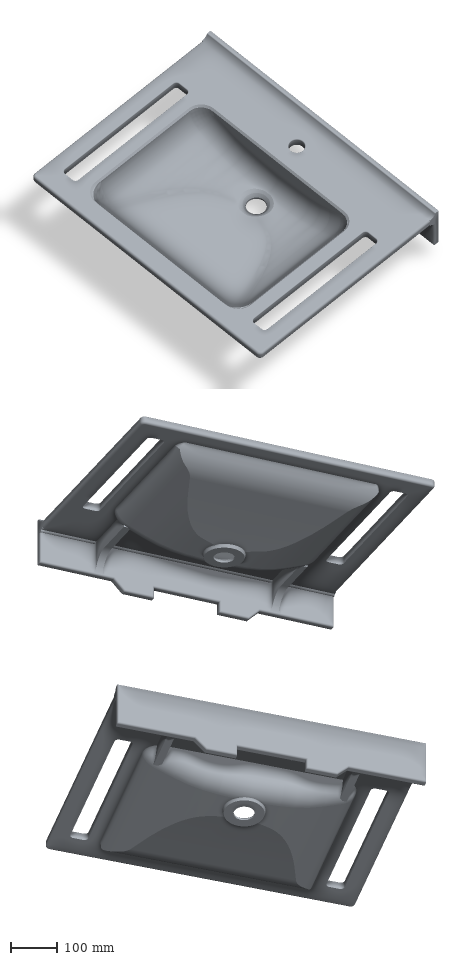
import cadquery as cq
import math


pick_tolerance = 0.1

width = 700.0
depth = 550.0
deck_thickness = 19.0
deck_back_y = -8.0
deck_corner_radius = 10.0
deck_edge_radius = 5.0

total_height = 135.0
upstand_height = 11.5
upstand_thickness = 12.0
upstand_foot_y = -27.5
upstand_arc_radius = 16.0
plate_thickness = 17.0
plate_bottom = -98.0
foot_bottom = upstand_height - total_height
foot_inner_x = 78.0
foot_chamfer = foot_bottom - plate_bottom
foot_outer_x = 174.0
plate_edge_radius = 4.0
plate_root_radius = 4.5
upstand_edge_radius = 2.5

rib_x = 210.0
rib_thickness = 17.0
rib_bottom = -54.5
rib_foot_z = plate_bottom + plate_edge_radius
rib_arc_end_y = -70.0
rib_arc_radius = 50.0
rib_end_y = -166.0
rib_root_radius = 5.0

slot_x = 290.0
slot_width = 41.0
slot_length = 350.0
slot_back_y = -146.0
slot_corner_radius = 9.0

opening_edge_radius = 2.0

tap_y = -87.0
tap_diameter = 36.0

floor_wall = 9.5
inner_floor = -89.0
outer_floor = inner_floor - floor_wall
side_wall = 9.5
inner_half_width = 234.0
outer_half_width = inner_half_width + side_wall
inner_back_y = -146.0
back_wall = 8.0
outer_back_y = inner_back_y + back_wall
inner_front_y = -504.6
outer_front_y = -515.0
inner_front_arc_y = -459.0
outer_front_arc_y = -443.0
back_arc_radius = 35.0
side_arc_radius = 47.0
side_slope = math.radians(22.0)
crease_radius = 45.0
side_slope_end_x = 170.0
flat_half_width = 70.0
middle_slope = math.radians(3.5)
rear_slope = math.radians(9.5)
front_slope = math.radians(8.5)
rear_slope_start_y = -228.0
rear_slope_end_y = -277.0
front_slope_start_y = -375.0
inner_corner_radius = 34.0
outer_corner_radius = 38.0
outer_arc_growth = 3.0
rim_flare = 4.5
rim_flare_angle = 45.0
rim_corner_radius = inner_corner_radius + rim_flare

drain_y = -211.0
drain_diameter = 46.0
drain_dish_radius = 42.0
drain_seat_radius = 30.0
drain_rim = inner_floor + 4.0
drain_dish_depth = 3.0
drain_throat_depth = 10.0
boss_radius = 44.5
boss_top_radius = 47.0
boss_bottom = -103.5
boss_height = 8.0


def x_prism(profile, x_start, length):
    """Extrude a closed YZ profile along +X."""
    return profile.extrude(length).translate((x_start, 0, 0))


def edges_near(body, x_range, y_range, z):
    """Edges centred at height z inside the given X and Y ranges."""
    low = (x_range[0] - pick_tolerance, y_range[0] - pick_tolerance, z - pick_tolerance)
    high = (x_range[1] + pick_tolerance, y_range[1] + pick_tolerance, z + pick_tolerance)
    return body.edges(cq.selectors.BoxSelector(low, high))


def deck():
    slab = (
        cq.Workplane("XY")
        .box(width, depth + deck_back_y, deck_thickness, centered=(True, False, False))
        .translate((0, -depth, -deck_thickness))
        .edges("|Z and <Y")
        .fillet(deck_corner_radius)
    )
    return slab.faces("<Y").edges("|X").fillet(deck_edge_radius)


def wall_plate():
    half = width / 2
    outline = (
        cq.Workplane("XZ")
        .moveTo(-half, upstand_height)
        .lineTo(half, upstand_height)
        .lineTo(half, plate_bottom)
        .lineTo(foot_outer_x, plate_bottom)
        .lineTo(foot_outer_x + foot_chamfer, foot_bottom)
        .lineTo(foot_inner_x, foot_bottom)
        .lineTo(foot_inner_x, plate_bottom)
        .lineTo(-foot_inner_x, plate_bottom)
        .lineTo(-foot_inner_x, foot_bottom)
        .lineTo(-foot_outer_x - foot_chamfer, foot_bottom)
        .lineTo(-foot_outer_x, plate_bottom)
        .lineTo(-half, plate_bottom)
        .close()
        .extrude(plate_thickness)
    )
    plate = outline.faces("<Y or >Y").edges().fillet(plate_edge_radius)
    upstand_front = (
        cq.Workplane("YZ")
        .moveTo(-upstand_thickness, upstand_height)
        .radiusArc((upstand_foot_y, 0), upstand_arc_radius)
        .lineTo(upstand_foot_y, upstand_height)
        .close()
    )
    root_y = -plate_thickness - plate_root_radius
    root_z = -deck_thickness - plate_root_radius
    deck_joint = (
        cq.Workplane("YZ")
        .moveTo(deck_back_y, upstand_height)
        .lineTo(-upstand_thickness, upstand_height)
        .radiusArc((upstand_foot_y, 0), upstand_arc_radius)
        .lineTo(upstand_foot_y, -deck_thickness)
        .lineTo(root_y, -deck_thickness)
        .radiusArc((-plate_thickness, root_z), -plate_root_radius)
        .lineTo(deck_back_y, root_z)
        .close()
    )
    plate = plate.cut(x_prism(upstand_front, -half, width))
    plate = plate.union(x_prism(deck_joint, -half, width))
    upstand_edge = edges_near(plate, (0, 0), (-upstand_thickness, -upstand_thickness), upstand_height)
    return upstand_edge.fillet(upstand_edge_radius)


def rib(x_centre):
    profile = (
        cq.Workplane("YZ")
        .moveTo(deck_back_y, -deck_thickness)
        .lineTo(deck_back_y, rib_foot_z)
        .lineTo(-plate_thickness, rib_foot_z)
        .radiusArc((rib_arc_end_y, rib_bottom), -rib_arc_radius)
        .lineTo(rib_end_y, rib_bottom)
        .lineTo(rib_end_y, -deck_thickness)
        .close()
    )
    half = rib_thickness / 2
    root_half = half + rib_root_radius
    root_end_y = -plate_thickness - rib_root_radius
    plan = (
        cq.Workplane("XY")
        .moveTo(root_half, deck_back_y)
        .lineTo(root_half, -plate_thickness)
        .radiusArc((half, root_end_y), -rib_root_radius)
        .lineTo(half, rib_end_y)
        .lineTo(-half, rib_end_y)
        .lineTo(-half, root_end_y)
        .radiusArc((-root_half, -plate_thickness), -rib_root_radius)
        .lineTo(-root_half, deck_back_y)
        .close()
        .extrude(plate_bottom)
    )
    return plan.intersect(x_prism(profile, -root_half, 2 * root_half)).translate((x_centre, 0, 0))


def bowl_form(half_width, back_y, front_y, floor_z, front_arc_y, arc_growth, corner_radius):
    """Solid with the bowl's shape: a lengthwise section crossed with a crosswise one."""
    rear_top_z = floor_z + (rear_slope_start_y - rear_slope_end_y) * math.tan(rear_slope)
    middle_run = rear_slope_end_y - front_slope_start_y
    front_start_z = rear_top_z + middle_run * math.tan((rear_slope + front_slope) / 2)
    front_top_z = front_start_z + (front_slope_start_y - front_arc_y) * math.tan(front_slope)
    lengthwise = (
        cq.Workplane("YZ")
        .moveTo(back_y, 0)
        .lineTo(back_y, floor_z)
        .lineTo(rear_slope_start_y, floor_z)
        .lineTo(rear_slope_end_y, rear_top_z)
        .tangentArcPoint((front_slope_start_y, front_start_z), relative=False)
        .lineTo(front_arc_y, front_top_z)
        .tangentArcPoint((front_y, 0), relative=False)
        .close()
    )
    side_radius = side_arc_radius + arc_growth
    middle_z = floor_z + flat_half_width * math.tan(middle_slope)
    ease_run = side_slope_end_x - flat_half_width
    ease_z = middle_z + ease_run * math.tan((side_slope + middle_slope) / 2)
    slope_x = half_width - side_radius * (1 - math.sin(side_slope))
    slope_z = ease_z + (slope_x - side_slope_end_x) * math.tan(side_slope)
    wall_z = slope_z + side_radius * math.cos(side_slope)
    crosswise = (
        cq.Workplane("XZ")
        .moveTo(-half_width, 0)
        .lineTo(half_width, 0)
        .lineTo(half_width, wall_z)
        .tangentArcPoint((slope_x, slope_z), relative=False)
        .lineTo(side_slope_end_x, ease_z)
        .tangentArcPoint((flat_half_width, middle_z), relative=False)
        .lineTo(0, floor_z)
        .lineTo(-flat_half_width, middle_z)
        .tangentArcPoint((-side_slope_end_x, ease_z), relative=False)
        .lineTo(-slope_x, slope_z)
        .tangentArcPoint((-half_width, wall_z), relative=False)
        .close()
        .extrude(depth)
    )
    form = crosswise.intersect(x_prism(lengthwise, -width / 2, width))
    plan = (
        cq.Workplane("XY")
        .center(0, (back_y + front_y) / 2)
        .rect(2 * half_width, back_y - front_y)
        .extrude(floor_z)
        .edges("|Z and <Y")
        .fillet(corner_radius)
    )
    form = form.intersect(plan)
    back_edges = form.faces(">Y").edges("not >Z")
    return back_edges.fillet(back_arc_radius + arc_growth)


def drain_boss():
    return (
        cq.Workplane("XY", origin=(0, drain_y, boss_bottom))
        .circle(boss_radius)
        .workplane(offset=boss_height)
        .circle(boss_top_radius)
        .loft()
    )


def drain_cut():
    hole_radius = drain_diameter / 2
    return (
        cq.Workplane("XZ", origin=(0, drain_y, 0))
        .moveTo(0, drain_rim)
        .lineTo(drain_dish_radius, drain_rim)
        .lineTo(drain_seat_radius, inner_floor - drain_dish_depth)
        .lineTo(hole_radius, inner_floor - drain_throat_depth)
        .lineTo(hole_radius, boss_bottom)
        .lineTo(0, boss_bottom)
        .close()
        .revolve(360, (0, 0, 0), (0, 1, 0))
    )


def bowl_cavity():
    cavity = bowl_form(
        inner_half_width,
        inner_back_y,
        inner_front_y,
        inner_floor,
        inner_front_arc_y,
        0,
        inner_corner_radius,
    )
    valley_box = cq.selectors.BoxSelector(
        (-side_slope_end_x - side_arc_radius, inner_front_arc_y, inner_floor),
        (side_slope_end_x + side_arc_radius, rear_slope_start_y, inner_floor / 2),
    )
    valleys = cavity.edges(valley_box).edges("not |X").edges("not |Y")
    return valleys.fillet(crease_radius)


def rim_cut():
    """Flared rim on the sides and back; the front keeps its plain edge."""
    rim_back_y = inner_back_y + rim_flare
    rim = (
        cq.Sketch()
        .rect(2 * (inner_half_width + rim_flare), rim_back_y - inner_front_y)
        .vertices()
        .fillet(rim_corner_radius)
    )
    return (
        cq.Workplane("XY", origin=(0, (rim_back_y + inner_front_y) / 2, 0))
        .placeSketch(rim)
        .extrude(-rim_flare, taper=rim_flare_angle)
    )


def bowl_skin():
    return bowl_form(
        outer_half_width,
        outer_back_y,
        outer_front_y,
        outer_floor,
        outer_front_arc_y,
        outer_arc_growth,
        outer_corner_radius,
    )


def cut_slot(body, x_centre):
    y_centre = slot_back_y - slot_length / 2
    slot = (
        cq.Workplane("XY", origin=(x_centre, y_centre, 0))
        .rect(slot_width, slot_length)
        .extrude(-deck_thickness)
        .edges("|Z")
        .fillet(slot_corner_radius)
    )
    x_range = (x_centre - slot_width / 2, x_centre + slot_width / 2)
    y_range = (slot_back_y - slot_length, slot_back_y)
    return edges_near(body.cut(slot), x_range, y_range, 0).fillet(opening_edge_radius)


def cut_tap_hole(body):
    radius = tap_diameter / 2
    hole = cq.Workplane("XY", origin=(0, tap_y, 0)).circle(radius).extrude(-deck_thickness)
    x_range = (-radius, radius)
    y_range = (tap_y - radius, tap_y + radius)
    return edges_near(body.cut(hole), x_range, y_range, 0).fillet(opening_edge_radius)


result = deck().union(bowl_skin()).union(wall_plate())
for side in (-1, 1):
    result = result.union(rib(side * rib_x))
result = result.union(drain_boss())
result = result.cut(bowl_cavity()).cut(rim_cut())
for side in (-1, 1):
    result = cut_slot(result, side * slot_x)
result = cut_tap_hole(result)
result = result.cut(drain_cut())